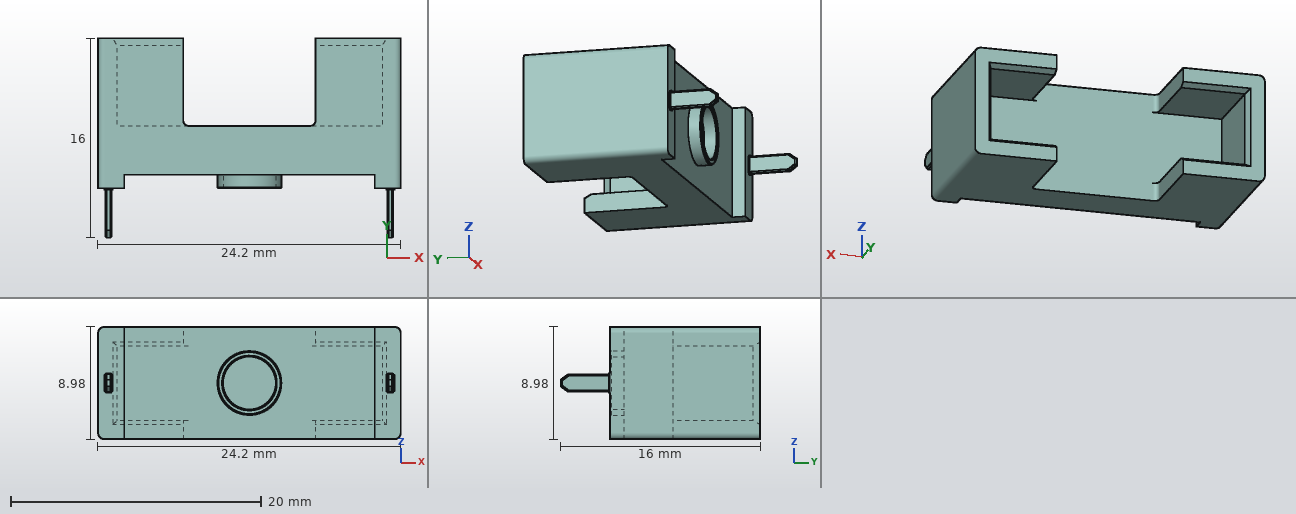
import cadquery as cq

LENGTH = 24.2
HEIGHT = 8.98
BODY_DEPTH = 12.0
EDGE_RADIUS = 0.5
FOOT_WIDTH = 2.1
FOOT_HEIGHT = 1.1

GAP_WIDTH = 10.55
GAP_DEPTH = 7.0
GAP_CORNER_RADIUS = 0.4

WALL = 1.5
MOUTH_WIDENING = 0.31
MOUTH_BEVEL_DEPTH = 0.58

RING_OUTER_RADIUS = 2.57
RING_INNER_RADIUS = 2.1
RING_EDGE_BEVEL = 0.1

PIN_OFFSET = 11.25
PIN_LENGTH = 3.95
PIN_WIDTH = 1.4
PIN_THICKNESS = 0.5
PIN_EDGE_BEVEL = 0.12
TIP_LENGTH = 0.6
TIP_WIDTH = 0.53
COLLAR_WIDTH = 1.57
COLLAR_THICKNESS = 0.68
COLLAR_LENGTH = 0.1
COLLAR_EDGE_BEVEL = 0.17

FACE_Y = FOOT_HEIGHT
FLOOR_Y = BODY_DEPTH - GAP_DEPTH


def box_along_y(size_x, size_z, y_start, y_end):
    """Box centred on X and Z that spans y_start to y_end."""
    box = cq.Workplane("XY").box(size_x, y_end - y_start, size_z, centered=(True, False, True))
    return box.translate((0, y_start, 0))


def make_body():
    body = box_along_y(LENGTH, HEIGHT, 0, BODY_DEPTH).edges("|Y").fillet(EDGE_RADIUS)
    recess = box_along_y(LENGTH - 2 * FOOT_WIDTH, HEIGHT, 0, FACE_Y)
    gap = box_along_y(GAP_WIDTH, HEIGHT, FLOOR_Y, BODY_DEPTH)
    gap = gap.edges("|Z and <Y").fillet(GAP_CORNER_RADIUS)
    return body.cut(recess).cut(gap)


def make_cavity():
    """Fuse cavity whose mouth widens through a bevel all round."""
    cavity_length = LENGTH - 2 * WALL
    cavity_height = HEIGHT - 2 * WALL
    cavity = box_along_y(cavity_length, cavity_height, FLOOR_Y, BODY_DEPTH)
    bevel = (
        cq.Workplane("XZ", origin=(0, BODY_DEPTH, 0))
        .rect(cavity_length + 2 * MOUTH_WIDENING, cavity_height + 2 * MOUTH_WIDENING)
        .workplane(offset=MOUTH_BEVEL_DEPTH)
        .rect(cavity_length, cavity_height)
        .loft()
    )
    return cavity.union(bevel)


def make_ring():
    ring = (
        cq.Workplane("XZ", origin=(0, FACE_Y, 0))
        .circle(RING_OUTER_RADIUS)
        .circle(RING_INNER_RADIUS)
        .extrude(FOOT_HEIGHT)
    )
    return ring.faces("<Y").chamfer(RING_EDGE_BEVEL)


def make_pin():
    half_width = PIN_WIDTH / 2
    half_tip = TIP_WIDTH / 2
    shoulder_y = TIP_LENGTH - PIN_LENGTH
    blade = (
        cq.Workplane("YZ")
        .moveTo(0, -half_width)
        .lineTo(shoulder_y, -half_width)
        .lineTo(-PIN_LENGTH, -half_tip)
        .lineTo(-PIN_LENGTH, half_tip)
        .lineTo(shoulder_y, half_width)
        .lineTo(0, half_width)
        .close()
        .extrude(PIN_THICKNESS / 2, both=True)
    )
    blade = blade.faces("<X or >X").edges("not >Y").chamfer(PIN_EDGE_BEVEL)
    collar = box_along_y(COLLAR_THICKNESS, COLLAR_WIDTH, -COLLAR_LENGTH, 0)
    collar = collar.edges("|Y").chamfer(COLLAR_EDGE_BEVEL)
    return blade.union(collar)


result = make_body().cut(make_cavity()).union(make_ring())
for side in (-1, 1):
    result = result.union(make_pin().translate((side * PIN_OFFSET, 0, 0)))